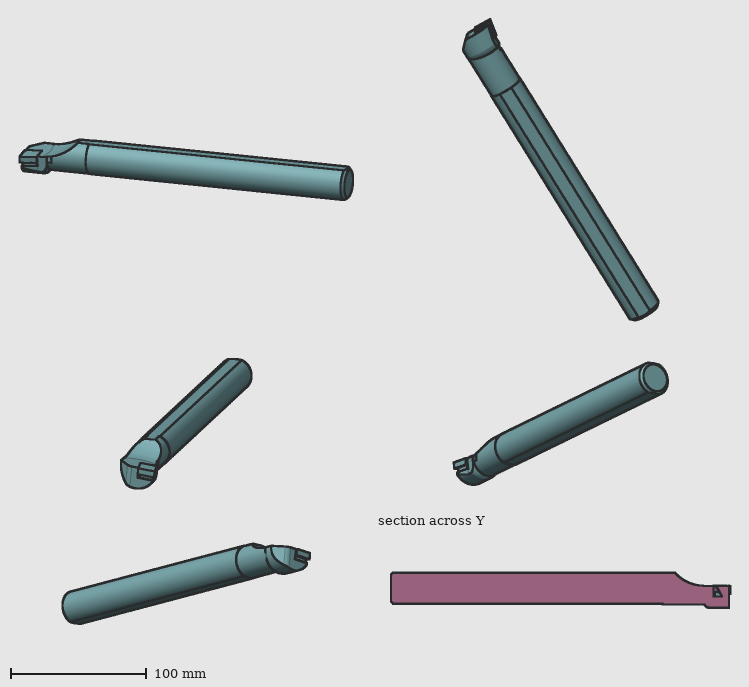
import cadquery as cq
import math

length = 250.0
shank_radius = 12.5
neck_radius = 12.2
neck_end = 50.0
flat_height = 11.5
end_chamfer = 2.2

head_start = 1.0
head_end = 19.8
head_radius = 15.0
head_center_y = -2.5
head_center_z = 0.5
head_end_fillet = 4.2

tip_y = -16.8
tip_z = 0.38
rake_angle = 6.0

scoop_center_x = -8.5
scoop_floor_radius = 27.5
scoop_arc_radius = 30.2
scoop_arc_angle = 60.0

corner_y = 3.5
corner_fillet = 5.5
clearance_start_y = -15.2
clearance_bend_x = 12.5
clearance_y = -13.0

relief_y = -11.8
relief_length = 3.5

insert_side = 12.8
insert_slope = 10.0
insert_thickness = 4.8
pad_inset = 1.5
pad_shift = 0.8
pad_height = 3.0

cut_size = 75.0


def tilted(local):
    """Place a shape, built with the tip at the origin and the rake plane as XY."""
    turned = local.rotate((0, 0, 0), (1, 0, 0), rake_angle)
    return turned.translate((0, tip_y, tip_z))


def cylinder_x(start, end, radius, y=0.0, z=0.0):
    circle = cq.Workplane("YZ", origin=(start, y, z)).circle(radius)
    return circle.extrude(end - start)


def rhombus_prism(inset, top, height):
    """Rhombus prism hanging down from local height `top`, every side moved inwards by `inset`."""
    slope = math.radians(insert_slope)
    width = insert_side * math.cos(slope)
    near_x = inset
    far_x = width - inset
    side_shift = inset / math.cos(slope)
    points = [
        (near_x, near_x * math.tan(slope) + side_shift),
        (far_x, far_x * math.tan(slope) + side_shift),
        (far_x, far_x * math.tan(slope) + insert_side - side_shift),
        (near_x, near_x * math.tan(slope) + insert_side - side_shift),
    ]
    prism = cq.Workplane("XY").workplane(offset=top).polyline(points).close().extrude(-height)
    return tilted(prism)


def make_bar():
    """Shank with two flats, and the neck with the upper flat only."""
    shank = cylinder_x(neck_end, length, shank_radius).faces(">X").chamfer(end_chamfer)
    flats = cq.Workplane("XY").box(2 * length, cut_size, 2 * flat_height)
    neck = cylinder_x(head_start, neck_end, neck_radius)
    below_flat = cq.Workplane("XY", origin=(0, 0, flat_height)).rect(2 * length, cut_size).extrude(-cut_size)
    return shank.intersect(flats).union(neck.intersect(below_flat))


def make_head():
    """Enlarged round head with a rounded rear edge, cut square to the rake plane along the insert side."""
    head = cylinder_x(head_start, head_end, head_radius, head_center_y, head_center_z)
    head = head.faces(">X").edges().fillet(head_end_fillet)
    outline = [
        (head_start, clearance_start_y - tip_y),
        (clearance_bend_x, clearance_y - tip_y),
        (cut_size, clearance_y - tip_y),
        (cut_size, cut_size),
        (head_start, cut_size),
    ]
    side = cq.Workplane("XY", origin=(0, 0, -cut_size / 2)).polyline(outline).close().extrude(cut_size)
    return head.intersect(tilted(side))


def make_corner_cut():
    """Everything outside the 45 degree front corner of the head, with its rounded edge."""
    kept = [
        (head_start, -cut_size),
        (head_start, corner_y - tip_y),
        (head_start + cut_size, corner_y - tip_y + cut_size),
        (cut_size + head_start, -cut_size),
    ]
    block = cq.Workplane("XY", origin=(0, 0, -cut_size / 2)).polyline(kept).close().extrude(cut_size)
    corner = cq.selectors.NearestToPointSelector((head_start, corner_y - tip_y, 0))
    block = block.edges(corner).fillet(corner_fillet)
    outer = cq.Workplane("XY").box(2 * neck_end, cut_size, cut_size)
    return tilted(outer.cut(block))


def make_scoop():
    """Cutter with a flat floor on the rake plane and a concave arc rising to the shank."""
    def arc_point(degrees):
        angle = math.radians(degrees)
        x = scoop_floor_radius + scoop_arc_radius * math.sin(angle)
        return x, scoop_arc_radius * (1 - math.cos(angle))

    end = arc_point(scoop_arc_angle)
    profile = (
        cq.Workplane("XZ")
        .lineTo(scoop_floor_radius, 0)
        .threePointArc(arc_point(scoop_arc_angle / 2), end)
        .lineTo(0, end[1])
        .close()
    )
    cutter = profile.revolve(360, (0, 0, 0), (0, 1, 0))
    return tilted(cutter.translate((scoop_center_x, -tip_y, 0)))


def make_relief():
    relief = cq.Workplane("XY").box(relief_length, cut_size, cut_size)
    return relief.translate((head_end + relief_length / 2, relief_y - cut_size / 2, 0))


def make_holder():
    holder = make_bar().cut(make_relief()).union(make_head())
    holder = holder.cut(make_corner_cut()).cut(make_scoop())
    pocket = rhombus_prism(0, 0, insert_thickness + pad_height)
    pad = rhombus_prism(pad_inset, -insert_thickness, pad_height).translate((pad_shift, 0, 0))
    return holder.cut(pocket).union(pad)


def make_insert():
    return rhombus_prism(0, 0, insert_thickness)


holder = make_holder()
insert = make_insert()
result = cq.Compound.makeCompound([holder.val(), insert.val()])